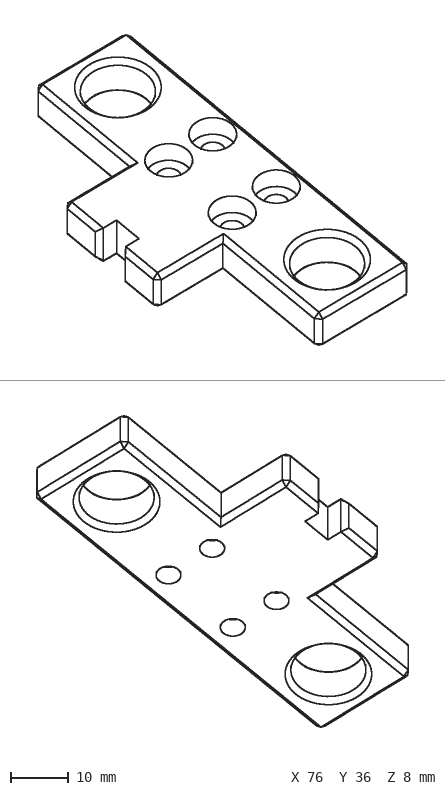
import cadquery as cq

width = 76.0
length = 36.0
thickness = 8.0
edge_chamfer = 1.0

bar_depth = 21.0
tongue_width = 25.0

notch_width = 6.0
notch_depth = 4.0

bore_diameter = 13.0
bore_chamfer = 1.0
bore_spacing = 56.0

screw_diameter = 4.3
head_diameter = 8.25
head_depth = 4.0
screw_spacing_x = 17.0
screw_spacing_y = 10.0

back_y = length / 2
front_y = -length / 2
bar_front_y = back_y - bar_depth
bar_center_y = back_y - bar_depth / 2
notch_end_y = front_y + notch_depth
top_z = thickness / 2
bottom_z = -thickness / 2


def make_plate():
    """T-shaped plate with its notch cut, all edges still sharp."""
    right_half = [
        (0, back_y),
        (width / 2, back_y),
        (width / 2, bar_front_y),
        (tongue_width / 2, bar_front_y),
        (tongue_width / 2, front_y),
        (notch_width / 2, front_y),
        (notch_width / 2, notch_end_y),
        (0, notch_end_y),
    ]
    return (
        cq.Workplane("XY")
        .workplane(offset=bottom_z)
        .polyline(right_half)
        .mirrorY()
        .extrude(thickness)
    )


def is_chamfered(edge):
    """True for every edge except inside corners and the rims of the notch."""
    center = edge.Center()
    vertical = abs(center.z) < edge_chamfer
    at_notch_wall = abs(center.x) < notch_width / 2 + edge_chamfer
    if vertical:
        at_inside_corner = at_notch_wall and center.y > front_y + edge_chamfer
        at_tongue_root = (
            abs(center.x) < width / 2 - edge_chamfer
            and abs(center.y - bar_front_y) < edge_chamfer
        )
        return not (at_inside_corner or at_tongue_root)
    return not (at_notch_wall and center.y < bar_front_y)


def chamfer_edges(plate):
    """Bevel the outer edges, leaving the notch rims and inside corners sharp."""
    edges = [edge for edge in plate.edges().vals() if is_chamfered(edge)]
    return plate.newObject(edges).chamfer(edge_chamfer)


def cut_bores(plate):
    """Cut the two large through bores, each with both rims chamfered."""
    centers = [(side * bore_spacing / 2, bar_center_y) for side in (-1, 1)]
    rim_diameter = bore_diameter + 2 * bore_chamfer
    bores = (
        cq.Workplane("XY")
        .workplane(offset=bottom_z)
        .pushPoints(centers)
        .circle(bore_diameter / 2)
        .extrude(thickness)
    )
    plate = plate.cut(bores)
    for rim_z, inward in ((top_z, -1), (bottom_z, 1)):
        countersinks = (
            cq.Workplane("XY")
            .workplane(offset=rim_z)
            .pushPoints(centers)
            .circle(rim_diameter / 2)
            .extrude(inward * bore_chamfer, taper=45)
        )
        plate = plate.cut(countersinks)
    return plate


def cut_screw_holes(plate):
    """Cut the four through holes counterbored from the top."""
    return (
        plate.copyWorkplane(cq.Workplane("XY", origin=(0, bar_center_y, top_z)))
        .rarray(screw_spacing_x, screw_spacing_y, 2, 2)
        .cboreHole(screw_diameter, head_diameter, head_depth)
    )


result = cut_screw_holes(cut_bores(chamfer_edges(make_plate())))